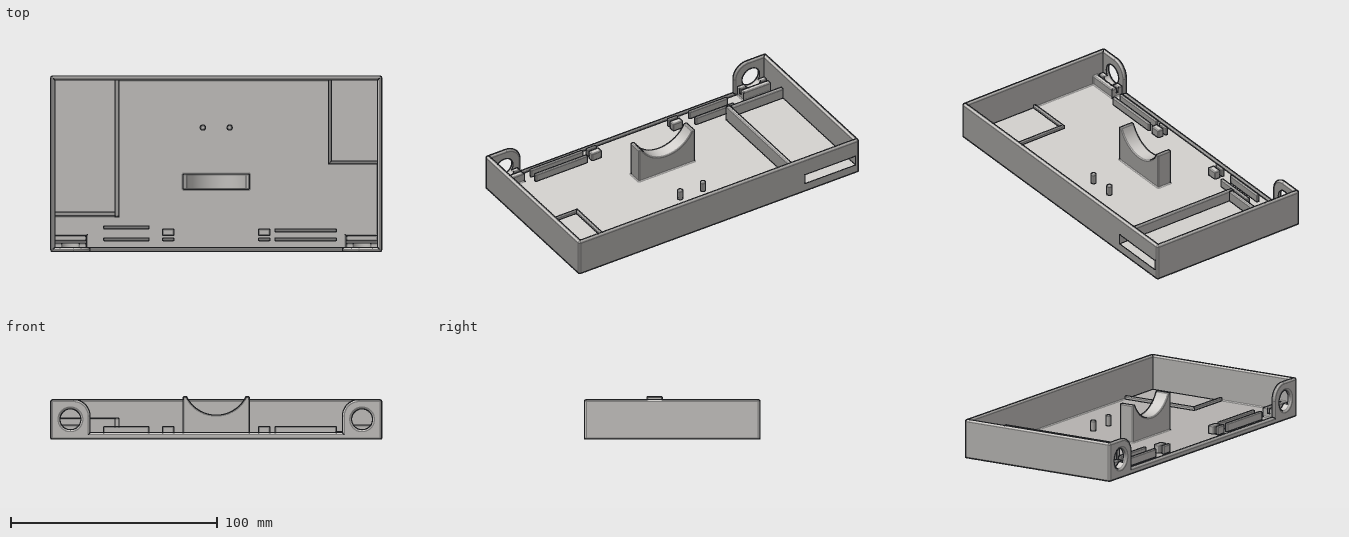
import cadquery as cq

LENGTH = 160.0
WIDTH = 85.0
WALL_HEIGHT = 19.0
OUTER_ROUND = 1.0
SMALL_ROUND = 0.5
RIM_FLAT = 0.08
WALL = 2 * OUTER_ROUND + RIM_FLAT
FLOOR = WALL
SILL_HEIGHT = 3.0

BRACKET_WIDTH = 19.0
BRACKET_ROUND = 8.0
PORT_DIAMETER = 10.0
PORT_X = (LENGTH - BRACKET_WIDTH) / 2
PORT_Z = WALL_HEIGHT / 2

HOLDER_DEPTH = 7.8
HOLDER_WIDTH = 17.3
HOLDER_TOP = 6.7
SLOT_START = 4.2
SLOT_WIDTH = 1.04
SLOT_END = SLOT_START + SLOT_WIDTH
SLOT_FLOOR = 4.0

LEFT_WALL_X = -47.0
LEFT_WALL_END = 16.8
LEFT_FRONT_Y = 17.3
LEFT_TOP = 10.0
LEFT_FLOOR = 4.6
WINDOW_TOP = 10.0

RIGHT_RIB_X = 54.2
RIGHT_RIB_Y = 42.4
RIGHT_RIB_TOP = 3.5
RIB = 1.5

CRADLE_LENGTH = 32.0
CRADLE_THICKNESS = 7.5
CRADLE_Y = 34.0
CRADLE_TOP = 20.5
CRADLE_RADIUS = 16.0
CRADLE_LOW = 11.5

PIN_DIAMETER = 2.5
PIN_SPACING = 13.0
PIN_Y = 60.0
PIN_TOP = 7.0

RIB_HEIGHT = 4.0
RIB_TOP = FLOOR + RIB_HEIGHT
FRONT_ROW_Y = 5.3
LEFT_STRIP_X = -54.4
LEFT_STRIP_LENGTH = 22.0
LEFT_REAR_ROW_Y = 11.0
RIGHT_STRIP_X = 28.3
RIGHT_STRIP_LENGTH = 29.8
RIGHT_REAR_ROW_Y = 9.6
STOP_X = 20.5
STOP_LENGTH = 5.5
STOP_REAR_ROW_Y = 7.8
STOP_REAR_DEPTH = 3.2
RETAINERS = [
    (LEFT_STRIP_X, FRONT_ROW_Y, LEFT_STRIP_LENGTH, RIB),
    (LEFT_STRIP_X, LEFT_REAR_ROW_Y, LEFT_STRIP_LENGTH, RIB),
    (RIGHT_STRIP_X, FRONT_ROW_Y, RIGHT_STRIP_LENGTH, RIB),
    (RIGHT_STRIP_X, RIGHT_REAR_ROW_Y, RIGHT_STRIP_LENGTH, RIB),
]
for stop_start in (-STOP_X - STOP_LENGTH, STOP_X):
    RETAINERS.append((stop_start, FRONT_ROW_Y, STOP_LENGTH, RIB))
    RETAINERS.append((stop_start, STOP_REAR_ROW_Y, STOP_LENGTH, STOP_REAR_DEPTH))

MARGIN = 0.02

HALF = LENGTH / 2
INNER_X = HALF - WALL
INNER_Y = WIDTH - WALL


def block(x0, x1, y0, y1, z0, z1):
    """Box between two corners; y is measured from the front face."""
    return cq.Workplane("XY").box(x1 - x0, y1 - y0, z1 - z0, centered=False).translate((x0, y0, z0))


def front_profile(y):
    """Sketch plane facing the front, so that local x, y are X, Z and extrusion runs to +Y."""
    return cq.Workplane(cq.Plane(origin=(0, y, 0), xDir=(1, 0, 0), normal=(0, -1, 0)))


class RimEdges(cq.Selector):
    """Every edge along the open rim except the inner edge of the low front sill."""

    def filter(self, edges):
        return [edge for edge in edges if self.is_rim(edge)]

    def is_rim(self, edge):
        middle = edge.Center()
        if edge.BoundingBox().zmin < SILL_HEIGHT - MARGIN:
            return False
        on_sill = middle.z < SILL_HEIGHT + MARGIN
        if on_sill:
            return middle.y < WALL / 2
        if middle.z > WALL_HEIGHT - MARGIN:
            return True
        runs_across_wall = abs(edge.tangentAt(0.5).y) > MARGIN
        return abs(middle.x) < PORT_X and not runs_across_wall


def make_shell():
    shell = block(-HALF, HALF, 0, WIDTH, 0, WALL_HEIGHT)
    shell = shell.edges("|Z").fillet(OUTER_ROUND).faces("<Z").edges().fillet(SMALL_ROUND)
    cavity = block(-INNER_X, INNER_X, WALL, INNER_Y, FLOOR, WALL_HEIGHT)
    cavity = cavity.faces("<Z").edges(">X or >Y").fillet(SMALL_ROUND)
    gap_half = HALF - BRACKET_WIDTH
    gap = (
        front_profile(0)
        .moveTo(-gap_half, SILL_HEIGHT)
        .lineTo(gap_half, SILL_HEIGHT)
        .lineTo(gap_half, WALL_HEIGHT - BRACKET_ROUND)
        .radiusArc((gap_half + BRACKET_ROUND, WALL_HEIGHT), BRACKET_ROUND)
        .lineTo(-gap_half - BRACKET_ROUND, WALL_HEIGHT)
        .radiusArc((-gap_half, WALL_HEIGHT - BRACKET_ROUND), BRACKET_ROUND)
        .close()
        .extrude(-WALL)
    )
    shell = shell.cut(cavity).cut(gap)
    shell = shell.edges(RimEdges()).fillet(OUTER_ROUND)
    sill_inner = cq.selectors.NearestToPointSelector((0, WALL, SILL_HEIGHT))
    shell = shell.edges(sill_inner).fillet(SMALL_ROUND)
    window = block(-INNER_X, LEFT_WALL_X - WALL, INNER_Y, WIDTH, LEFT_FLOOR, WINDOW_TOP)
    return shell.cut(window)


def edges_inside(body, x0, x1, y0, y1, z0, z1):
    """Edges lying completely between two corners, grown by a small margin."""
    low = (x0 - MARGIN, y0 - MARGIN, z0 - MARGIN)
    high = (x1 + MARGIN, y1 + MARGIN, z1 + MARGIN)
    return body.edges(cq.selectors.BoxSelector(low, high, boundingbox=True))


def round_foot(body, x0, x1, y0, y1):
    """Fillet the joint with the floor around an upright standing between two corners."""
    return edges_inside(body, x0, x1, y0, y1, FLOOR, FLOOR).fillet(SMALL_ROUND)


def add_ports(body):
    radius = PORT_DIAMETER / 2
    for x in (-PORT_X, PORT_X):
        port = front_profile(0).center(x, PORT_Z).circle(radius).extrude(-WALL)
        body = body.cut(port)
        rim = edges_inside(body, x - radius, x + radius, 0, 0, PORT_Z - radius, PORT_Z + radius)
        body = rim.fillet(OUTER_ROUND)
    return body


def make_holder(side):
    """Holder standing against a side wall: trough in front, slot, plain plate behind."""
    start = HALF - HOLDER_WIDTH
    holder = block(start, INNER_X, WALL, HOLDER_DEPTH, FLOOR, HOLDER_TOP)
    holder = holder.cut(block(start, INNER_X, SLOT_START, SLOT_END, SLOT_FLOOR, HOLDER_TOP))
    trough = front_profile(WALL).center(PORT_X, PORT_Z).circle(PORT_DIAMETER / 2)
    holder = holder.cut(trough.extrude(WALL - SLOT_START))
    holder = holder.faces(">Z").edges("not(<Y or >X)").fillet(SMALL_ROUND)
    return holder if side > 0 else holder.mirror("YZ")


def add_holders(body):
    for side in (-1, 1):
        body = body.union(make_holder(side))
        inboard = side * (HALF - HOLDER_WIDTH)
        outboard = side * INNER_X
        x0, x1 = sorted((inboard, outboard))
        body = round_foot(body, x0, x1, WALL, HOLDER_DEPTH)
    return body


def add_left_compartment(body):
    inner_x = LEFT_WALL_X - WALL
    front = block(-INNER_X, inner_x, LEFT_FRONT_Y, LEFT_FRONT_Y + WALL, FLOOR, LEFT_TOP)
    front = front.faces(">Z").edges("|X").fillet(SMALL_ROUND)
    side = block(inner_x, LEFT_WALL_X, LEFT_WALL_END, INNER_Y, FLOOR, LEFT_TOP)
    side = side.faces(">Z").edges("not >Y").fillet(SMALL_ROUND)
    floor = block(-INNER_X, inner_x, LEFT_FRONT_Y + WALL, INNER_Y, FLOOR, LEFT_FLOOR)
    body = body.union(front).union(side).union(floor)
    return round_foot(body, -INNER_X, inner_x, LEFT_FRONT_Y, LEFT_FRONT_Y)


def add_right_compartment(body):
    outline = block(RIGHT_RIB_X, INNER_X, RIGHT_RIB_Y, INNER_Y, FLOOR, RIGHT_RIB_TOP)
    inside = block(RIGHT_RIB_X + RIB, INNER_X, RIGHT_RIB_Y + RIB, INNER_Y, FLOOR, RIGHT_RIB_TOP)
    rib = outline.cut(inside).faces(">Z").edges("not(>X or >Y)").fillet(SMALL_ROUND)
    return body.cut(inside).union(rib)


def add_cradle(body):
    half = CRADLE_LENGTH / 2
    y0 = CRADLE_Y - CRADLE_THICKNESS / 2
    y1 = y0 + CRADLE_THICKNESS
    cradle = block(-half, half, y0, y1, FLOOR, CRADLE_TOP)
    cradle = cradle.edges("|Z").fillet(SMALL_ROUND)
    trough = front_profile(y0).center(0, CRADLE_LOW + CRADLE_RADIUS).circle(CRADLE_RADIUS)
    cradle = cradle.cut(trough.extrude(-CRADLE_THICKNESS))
    top = edges_inside(cradle, -half, half, y0, y1, CRADLE_LOW, CRADLE_TOP)
    return round_foot(body.union(top.fillet(SMALL_ROUND)), -half, half, y0, y1)


def make_retainer(x, y, x_size, y_size):
    retainer = block(x, x + x_size, y, y + y_size, FLOOR, RIB_TOP)
    return retainer.edges("not <Z").fillet(SMALL_ROUND)


def make_pin(x):
    pin = cq.Workplane("XY", origin=(x, PIN_Y, FLOOR)).circle(PIN_DIAMETER / 2).extrude(PIN_TOP - FLOOR)
    return pin.faces(">Z").edges().fillet(SMALL_ROUND)


result = make_shell()
result = add_holders(result)
result = add_ports(result)
result = add_left_compartment(result)
result = add_right_compartment(result)
result = add_cradle(result)
for retainer in RETAINERS:
    result = result.union(make_retainer(*retainer))
for pin_x in (-PIN_SPACING / 2, PIN_SPACING / 2):
    result = result.union(make_pin(pin_x))